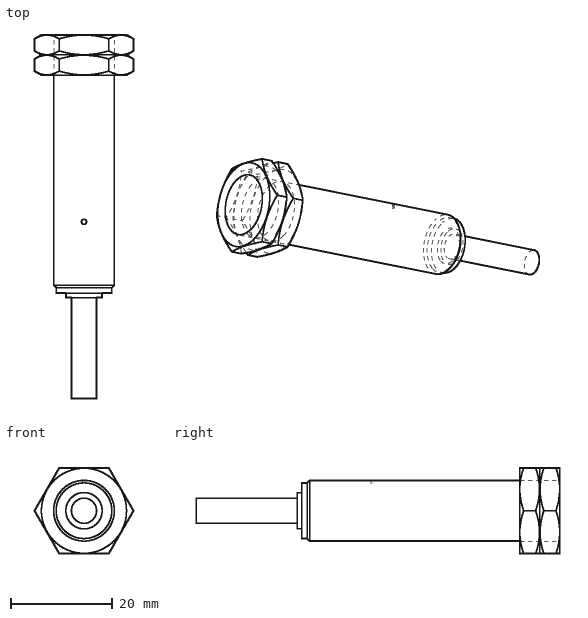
import cadquery as cq
import math

TOTAL_LENGTH = 72.0
BACK_Y = TOTAL_LENGTH / 2
FRONT_Y = -BACK_Y

NUT_COUNT = 2
NUT_ACROSS_FLATS = 17.0
NUT_ACROSS_CORNERS = NUT_ACROSS_FLATS / math.cos(math.radians(30))
NUT_STACK_LENGTH = 8.0
NUT_THICKNESS = NUT_STACK_LENGTH / NUT_COUNT
NUT_FACE_DIAMETER = 16.85
NUT_CHAMFER_ANGLE = 30.0

BARREL_DIAMETER = 12.0
NOSE_DIAMETER = 11.0
COLLAR_DIAMETER = 7.2
CABLE_DIAMETER = 5.0
CABLE_LENGTH = 20.0
COLLAR_LENGTH = 0.9
NOSE_LENGTH = 1.1
SHOULDER_CHAMFER = (BARREL_DIAMETER - NOSE_DIAMETER) / 2

INDICATOR_DIAMETER = 1.0
INDICATOR_FROM_FRONT = 35.0


def make_sensor():
    """Revolve the stepped half profile about Y, then add the indicator."""
    collar_front = FRONT_Y + CABLE_LENGTH
    nose_front = collar_front + COLLAR_LENGTH
    nose_back = nose_front + NOSE_LENGTH
    barrel_front = nose_back + SHOULDER_CHAMFER
    body = (
        cq.Workplane("XY")
        .moveTo(0, FRONT_Y)
        .lineTo(CABLE_DIAMETER / 2, FRONT_Y)
        .lineTo(CABLE_DIAMETER / 2, collar_front)
        .lineTo(COLLAR_DIAMETER / 2, collar_front)
        .lineTo(COLLAR_DIAMETER / 2, nose_front)
        .lineTo(NOSE_DIAMETER / 2, nose_front)
        .lineTo(NOSE_DIAMETER / 2, nose_back)
        .lineTo(BARREL_DIAMETER / 2, barrel_front)
        .lineTo(BARREL_DIAMETER / 2, BACK_Y)
        .lineTo(0, BACK_Y)
        .close()
        .revolve(360, (0, 0, 0), (0, 1, 0))
    )
    return add_indicator(body)


def add_indicator(body):
    """Bore a small blind hole whose floor is a dome that rises flush with the barrel top."""
    radius = INDICATOR_DIAMETER / 2
    barrel_top = BARREL_DIAMETER / 2
    indicator_y = FRONT_Y + INDICATOR_FROM_FRONT
    bore = (
        cq.Workplane("XY", origin=(0, indicator_y, barrel_top))
        .circle(radius)
        .extrude(-radius)
    )
    dome = cq.Workplane("XY", origin=(0, indicator_y, barrel_top - radius)).sphere(radius)
    return body.cut(bore.cut(dome))


def make_nut(back_y):
    """Hexagon nut with corners on X, both faces chamfered by cones, bored to fit the barrel."""
    face_radius = NUT_FACE_DIAMETER / 2
    corner_radius = NUT_ACROSS_CORNERS / 2
    chamfer_height = (corner_radius - face_radius) * math.tan(math.radians(NUT_CHAMFER_ANGLE))
    front_y = back_y - NUT_THICKNESS
    hexagon = (
        cq.Workplane("XZ", origin=(0, back_y, 0))
        .polygon(6, NUT_ACROSS_CORNERS)
        .circle(BARREL_DIAMETER / 2)
        .extrude(NUT_THICKNESS)
    )
    chamfer_envelope = (
        cq.Workplane("XY")
        .moveTo(0, front_y)
        .lineTo(face_radius, front_y)
        .lineTo(corner_radius, front_y + chamfer_height)
        .lineTo(corner_radius, back_y - chamfer_height)
        .lineTo(face_radius, back_y)
        .lineTo(0, back_y)
        .close()
        .revolve(360, (0, 0, 0), (0, 1, 0))
    )
    return hexagon.intersect(chamfer_envelope)


sensor = make_sensor()
nuts = [make_nut(BACK_Y - index * NUT_THICKNESS) for index in range(NUT_COUNT)]

result = cq.Compound.makeCompound([sensor.val(), *[nut.val() for nut in nuts]])